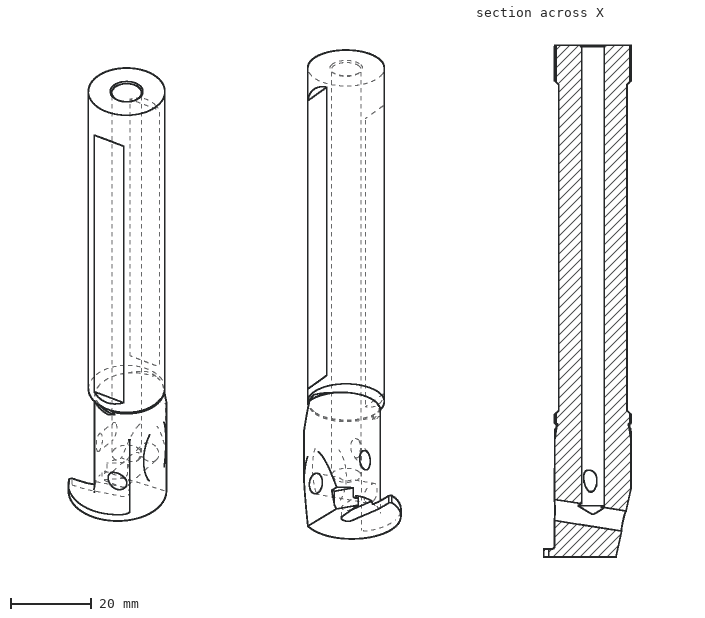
import cadquery as cq
import math

TOTAL_LENGTH = 126.4
SHANK_RADIUS = 9.5
SHANK_BOTTOM = 33.1
SHOULDER_HEIGHT = 1.6
FLAT_Y = 8.5
FLAT_BOTTOM = 36.2
FLAT_TOP = 116.7

BORE_RADIUS = 3.7
BORE_BOTTOM = 12.6
BORE_CHAMFER = 0.4
DRILL_HALF_ANGLE = 59
FRONT_OUTLET_RADIUS = 2.5
FRONT_OUTLET_X = 2.9
FRONT_OUTLET_Z = 11.6
FRONT_OUTLET_EXIT_X = 1.8
FRONT_OUTLET_EXIT_Z = 8.6
SIDE_OUTLET_RADIUS = 1.6
SIDE_OUTLET_Y = -0.6
SIDE_OUTLET_Z = 13.5
SIDE_OUTLET_RISE = 52

NECK_OFFSET = 1.8
NECK_RADIUS = SHANK_RADIUS
FLANGE_RADIUS = 12.1
FLANGE_OFFSET = SHANK_RADIUS - FLANGE_RADIUS
FLANGE_THICKNESS = 2.0
FLANGE_FILLET = 0.6
NECK_LEFT = NECK_OFFSET - NECK_RADIUS

RELIEF_BOTTOM = 25.3
RELIEF_BOTTOM_RADIUS = 10.4
RELIEF_TOP = 32.5
RELIEF_TOP_RADIUS = 9.2
UNDERCUT_DEPTH = 0.4
UNDERCUT_BOTTOM = 31.5

EDGE_Y = -4.3
EDGE_BEVEL = 0.5
RAKE_SLOPE = 0.08
RAKE_BEND_X = -9.5
INNER_RAKE_SLOPE = 0.25
GULLET_HEIGHT = 3.0
GULLET_BACK_Y = 1.9
GULLET_END_X = -1.3

CLEARANCE_Y = 5.5
CLEARANCE_X_SLOPE = 0.08
CLEARANCE_Z_SLOPE = 0.22
HEEL_HEIGHT = 5.0
HEEL_RUN = 5.0

SCALLOP_RADIUS = 44.2
SCALLOP_DEPTH = 1.0
SCALLOP_Z = 17.5
SCALLOP_ANGLE = -3

CUT_SIZE = 50.6


def cylinder(center_x, radius, bottom, top):
    return cq.Workplane("XY", origin=(center_x, 0, bottom)).circle(radius).extrude(top - bottom)


def revolved(profile):
    """Turn an (r, z) outline about the Z axis."""
    return cq.Workplane("XZ").polyline(profile).close().revolve(360, (0, 0, 0), (0, 1, 0))


def make_shank():
    neck_reach = -NECK_LEFT
    shank = revolved([
        (0, SHANK_BOTTOM - SHOULDER_HEIGHT),
        (neck_reach, SHANK_BOTTOM - SHOULDER_HEIGHT),
        (SHANK_RADIUS, SHANK_BOTTOM),
        (SHANK_RADIUS, TOTAL_LENGTH),
        (0, TOTAL_LENGTH),
    ])
    flat_depth = SHANK_RADIUS - FLAT_Y
    for side in (1, -1):
        flat = (
            cq.Workplane("YZ", origin=(-CUT_SIZE / 2, 0, 0))
            .polyline([
                (side * FLAT_Y, FLAT_BOTTOM),
                (side * FLAT_Y, FLAT_TOP),
                (side * SHANK_RADIUS, FLAT_TOP + flat_depth),
                (side * SHANK_RADIUS, FLAT_BOTTOM - flat_depth),
            ])
            .close()
            .extrude(CUT_SIZE)
        )
        shank = shank.cut(flat)
    return shank


def make_head():
    flange = cylinder(FLANGE_OFFSET, FLANGE_RADIUS, 0, FLANGE_THICKNESS)
    neck = cylinder(NECK_OFFSET, NECK_RADIUS, 0, UNDERCUT_BOTTOM + UNDERCUT_DEPTH)
    neck = neck.faces(">Z").chamfer(UNDERCUT_DEPTH)
    neck = neck.union(cylinder(NECK_OFFSET, NECK_RADIUS - UNDERCUT_DEPTH, 0, SHANK_BOTTOM))
    fillet_foot = cylinder(NECK_OFFSET, NECK_RADIUS + FLANGE_FILLET, FLANGE_THICKNESS,
                           FLANGE_THICKNESS + FLANGE_FILLET)
    ring = (
        cq.Workplane("XZ", origin=(NECK_OFFSET, 0, 0))
        .center(NECK_RADIUS + FLANGE_FILLET, FLANGE_THICKNESS + FLANGE_FILLET)
        .circle(FLANGE_FILLET)
        .revolve(360, (-NECK_RADIUS - FLANGE_FILLET, 0, 0), (-NECK_RADIUS - FLANGE_FILLET, 1, 0))
    )
    neck = neck.union(fillet_foot.cut(ring))
    neck = neck.intersect(cylinder(FLANGE_OFFSET, FLANGE_RADIUS, 0, SHANK_BOTTOM))
    relief = revolved([
        (0, 0),
        (CUT_SIZE, 0),
        (CUT_SIZE, RELIEF_BOTTOM),
        (RELIEF_BOTTOM_RADIUS, RELIEF_BOTTOM),
        (RELIEF_TOP_RADIUS, RELIEF_TOP),
        (RELIEF_TOP_RADIUS - UNDERCUT_DEPTH, SHANK_BOTTOM),
        (0, SHANK_BOTTOM),
    ])
    return flange.union(neck.intersect(relief))


def cut_gullet(head):
    edge_x = FLANGE_OFFSET - math.sqrt(FLANGE_RADIUS**2 - EDGE_Y**2)
    bevel_end = (edge_x + EDGE_BEVEL, EDGE_Y + EDGE_BEVEL)
    rake_bend_y = bevel_end[1] + RAKE_SLOPE * (RAKE_BEND_X - bevel_end[0])
    rake_end_y = rake_bend_y + INNER_RAKE_SLOPE * (GULLET_END_X - RAKE_BEND_X)
    slot = (
        cq.Workplane("XY")
        .moveTo(edge_x - EDGE_BEVEL, EDGE_Y - EDGE_BEVEL)
        .lineTo(*bevel_end)
        .lineTo(RAKE_BEND_X, rake_bend_y)
        .lineTo(GULLET_END_X, rake_end_y)
        .threePointArc(
            (GULLET_END_X + (GULLET_BACK_Y - rake_end_y) / 2, (GULLET_BACK_Y + rake_end_y) / 2),
            (GULLET_END_X, GULLET_BACK_Y),
        )
        .lineTo(-CUT_SIZE, GULLET_BACK_Y)
        .lineTo(-CUT_SIZE, EDGE_Y - EDGE_BEVEL)
        .close()
        .extrude(GULLET_HEIGHT)
    )
    heel_x = NECK_LEFT - FLANGE_FILLET
    heel = (
        cq.Workplane("XY")
        .polyline([
            (-CUT_SIZE, GULLET_BACK_Y),
            (heel_x, GULLET_BACK_Y),
            (heel_x + HEEL_RUN, CLEARANCE_Y),
            (heel_x + HEEL_RUN, CUT_SIZE),
            (-CUT_SIZE, CUT_SIZE),
        ])
        .close()
        .extrude(HEEL_HEIGHT)
    )
    return head.cut(slot).cut(heel)


def cut_clearance(head):
    normal = (-CLEARANCE_X_SLOPE, 1, -CLEARANCE_Z_SLOPE)
    plane = cq.Plane(origin=(0, CLEARANCE_Y, 0), xDir=(1, CLEARANCE_X_SLOPE, 0), normal=normal)
    clearance = cq.Workplane(plane).rect(CUT_SIZE, CUT_SIZE).extrude(CUT_SIZE)
    below_shank = cq.Workplane("XY").rect(CUT_SIZE, CUT_SIZE).extrude(RELIEF_BOTTOM)
    return head.cut(clearance.intersect(below_shank))


def cut_scallop(head):
    axis_distance = FLANGE_RADIUS - SCALLOP_DEPTH + SCALLOP_RADIUS
    scallop = (
        cq.Workplane("XZ", origin=(FLANGE_OFFSET + axis_distance, 0, SCALLOP_Z))
        .circle(SCALLOP_RADIUS)
        .extrude(CUT_SIZE / 2, both=True)
        .rotate((FLANGE_OFFSET, 0, 0), (FLANGE_OFFSET, 0, 1), SCALLOP_ANGLE)
    )
    return head.cut(scallop)


def make_bore():
    tip_depth = BORE_RADIUS / math.tan(math.radians(DRILL_HALF_ANGLE))
    return revolved([
        (0, BORE_BOTTOM - tip_depth),
        (BORE_RADIUS, BORE_BOTTOM),
        (BORE_RADIUS, TOTAL_LENGTH - BORE_CHAMFER),
        (BORE_RADIUS + BORE_CHAMFER, TOTAL_LENGTH),
        (0, TOTAL_LENGTH),
    ])


def make_outlets():
    front_mouth = cq.Vector(FRONT_OUTLET_X, -NECK_RADIUS, FRONT_OUTLET_Z)
    back_mouth = cq.Vector(FRONT_OUTLET_EXIT_X, NECK_RADIUS, FRONT_OUTLET_EXIT_Z)
    through = back_mouth - front_mouth
    front_start = front_mouth - through
    front = cq.Solid.makeCylinder(FRONT_OUTLET_RADIUS, 3 * through.Length, front_start, through)
    rise = math.radians(SIDE_OUTLET_RISE)
    direction = cq.Vector(math.cos(rise), 0, math.sin(rise))
    exit_point = cq.Vector(NECK_LEFT, SIDE_OUTLET_Y, SIDE_OUTLET_Z)
    inner_reach = -NECK_LEFT / math.cos(rise)
    start = exit_point - direction * inner_reach
    side = cq.Solid.makeCylinder(SIDE_OUTLET_RADIUS, 2 * inner_reach, start, direction)
    return cq.Workplane(front).union(cq.Workplane(side))


head = cut_scallop(cut_clearance(cut_gullet(make_head())))
result = make_shank().union(head).cut(make_bore()).cut(make_outlets())